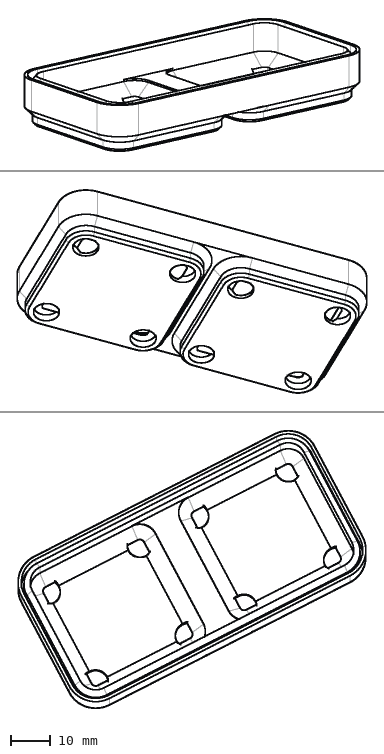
import cadquery as cq
length = 83.0
width = 41.0
height = 12.8
corner_radius = 7.5
cell_pitch = length - width
cell_centers = [(0, -cell_pitch / 2), (0, cell_pitch / 2)]

foot_inset = 2.0
foot_chamfer = 0.75
foot_band_height = 1.8
foot_band_top = foot_chamfer + foot_band_height
foot_height = foot_band_top + foot_inset

wall_inset = 3.1
rib_thickness = 1.2
rib_top = foot_height + rib_thickness

floor_thickness = 1.0
pocket_slope = 4.2
pocket_slope_top = floor_thickness + pocket_slope

outer_wall_thickness = 0.8
groove_width = 0.7
groove_bottom = rib_top

crest_drop = 0.2
crest_top = height - crest_drop
bevel_height = 1.9

recess_diameter = 6.5
recess_spacing = 26.2
recess_depth = 2.0


def rounded_section(size_x, size_y, inset, z):
    """Rounded rectangle at height z, inset from the tray sides with concentric corners."""
    return (
        cq.Sketch()
        .rect(size_x - 2 * inset, size_y - 2 * inset)
        .vertices()
        .fillet(corner_radius - inset)
        .moved(cq.Location(cq.Vector(0, 0, z)))
    )


def rounded_block(size_x, size_y, bottom, top, bottom_inset, top_inset):
    """Block between two rounded sections; unequal insets give sloped sides."""
    lower = rounded_section(size_x, size_y, bottom_inset, bottom)
    upper = rounded_section(size_x, size_y, top_inset, top)
    return cq.Workplane().placeSketch(lower, upper).loft(ruled=True)


def cell_block(bottom, top, bottom_inset, top_inset):
    return rounded_block(width, width, bottom, top, bottom_inset, top_inset)


def tray_block(bottom, top, bottom_inset, top_inset):
    return rounded_block(width, length, bottom, top, bottom_inset, top_inset)


def make_foot():
    chamfer = cell_block(0, foot_chamfer, foot_inset + foot_chamfer, foot_inset)
    band = cell_block(foot_chamfer, foot_band_top, foot_inset, foot_inset)
    flare = cell_block(foot_band_top, foot_height, foot_inset, 0)
    return chamfer.union(band).union(flare)


def make_pocket():
    slope = cell_block(floor_thickness, pocket_slope_top, wall_inset + pocket_slope, wall_inset)
    opening = cell_block(pocket_slope_top, rib_top, wall_inset, wall_inset)
    return slope.union(opening)


def make_recesses():
    return (
        cq.Workplane()
        .rect(recess_spacing, recess_spacing, forConstruction=True)
        .vertices()
        .circle(recess_diameter / 2)
        .extrude(recess_depth)
    )


def make_groove():
    inner_inset = outer_wall_thickness + groove_width
    bevel_bottom = crest_top - bevel_height
    space = tray_block(groove_bottom, height, outer_wall_thickness, outer_wall_thickness)
    inner_wall = tray_block(groove_bottom, bevel_bottom, inner_inset, inner_inset)
    bevel = tray_block(bevel_bottom, crest_top, inner_inset, wall_inset)
    return space.cut(inner_wall).cut(bevel)


result = tray_block(foot_height, height, 0, 0)
for center in cell_centers:
    result = result.union(make_foot().translate(center))

result = result.cut(tray_block(rib_top, height, wall_inset, wall_inset))
result = result.cut(make_groove())
for center in cell_centers:
    result = result.cut(make_pocket().translate(center))
    result = result.cut(make_recesses().translate(center))